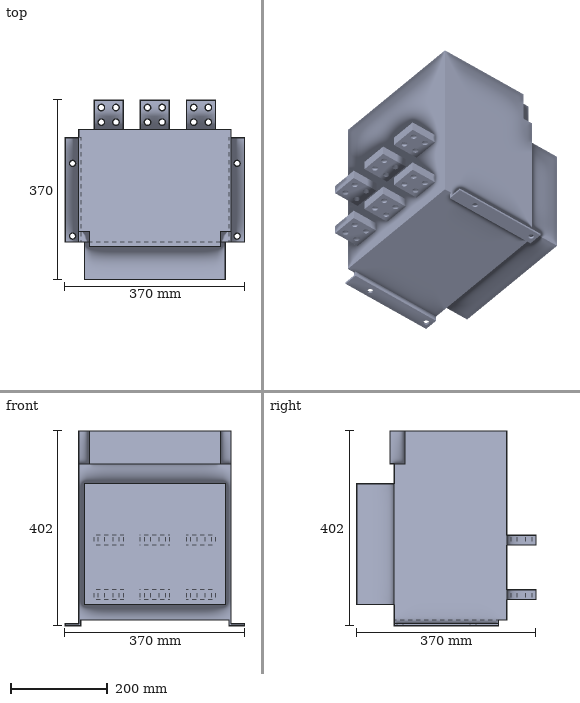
import cadquery as cq

overall_width = 370.0
overall_depth = 370.0
overall_height = 402.0

housing_width = 314.5
housing_front_y = 77.0
housing_bottom_z = 12.0

nose_width = 270.0
nose_front_y = 68.5
nose_bottom_z = 334.0
corner_notch_back_y = 99.3

front_box_width = 291.0
front_box_bottom_z = 44.0
front_box_top_z = 293.5

terminal_size = 60.5
terminal_thickness = 20.5
terminal_pitch = 95.3
terminal_bottom_levels = (54.3, 166.5)
terminal_hole_diameter = 13.0
terminal_hole_spacing = terminal_size / 2
housing_back_y = overall_depth - terminal_size

foot_thickness = 4.5
foot_back_y = 292.5
foot_hole_diameter = 12.0
foot_hole_x = 169.5
foot_hole_ys = (89.5, 239.5)


def centred_block(width, y_range, z_range):
    """Box symmetric about X = 0 between the given Y and Z limits."""
    y0, y1 = y_range
    z0, z1 = z_range
    block = cq.Workplane("XY").box(width, y1 - y0, z1 - z0, centered=(True, False, False))
    return block.translate((0, y0, z0))


def make_housing():
    """Housing with notched upper front corners, the nose and the front box."""
    lower = centred_block(
        housing_width, (housing_front_y, housing_back_y), (housing_bottom_z, nose_bottom_z)
    )
    upper = centred_block(
        housing_width, (corner_notch_back_y, housing_back_y), (nose_bottom_z, overall_height)
    )
    nose = centred_block(
        nose_width, (nose_front_y, corner_notch_back_y), (nose_bottom_z, overall_height)
    )
    front_box = centred_block(
        front_box_width, (0, housing_front_y), (front_box_bottom_z, front_box_top_z)
    )
    return lower.union(upper).union(nose).union(front_box)


def make_terminal(center_x, bottom_z):
    """Flat bar behind the housing with a square pattern of four through holes."""
    return (
        cq.Workplane("XY")
        .box(terminal_size, terminal_size, terminal_thickness, centered=(True, True, False))
        .faces(">Z")
        .workplane()
        .rarray(terminal_hole_spacing, terminal_hole_spacing, 2, 2)
        .hole(terminal_hole_diameter)
        .translate((center_x, housing_back_y + terminal_size / 2, bottom_z))
    )


def make_foot():
    """Right-hand angle: a leg flush with the housing side and a drilled outward flange."""
    outer_x = overall_width / 2
    leg_outer_x = housing_width / 2
    leg_inner_x = leg_outer_x - foot_thickness
    foot = (
        cq.Workplane("XZ", origin=(0, foot_back_y, 0))
        .moveTo(leg_inner_x, 0)
        .lineTo(outer_x, 0)
        .lineTo(outer_x, foot_thickness)
        .lineTo(leg_outer_x, foot_thickness)
        .lineTo(leg_outer_x, housing_bottom_z)
        .lineTo(leg_inner_x, housing_bottom_z)
        .close()
        .extrude(foot_back_y - housing_front_y)
    )
    holes = (
        cq.Workplane("XY")
        .pushPoints([(foot_hole_x, y) for y in foot_hole_ys])
        .circle(foot_hole_diameter / 2)
        .extrude(foot_thickness)
    )
    return foot.cut(holes)


result = make_housing()

for terminal_z in terminal_bottom_levels:
    for column in (-1, 0, 1):
        result = result.union(make_terminal(column * terminal_pitch, terminal_z))

right_foot = make_foot()
result = result.union(right_foot).union(right_foot.mirror("YZ"))